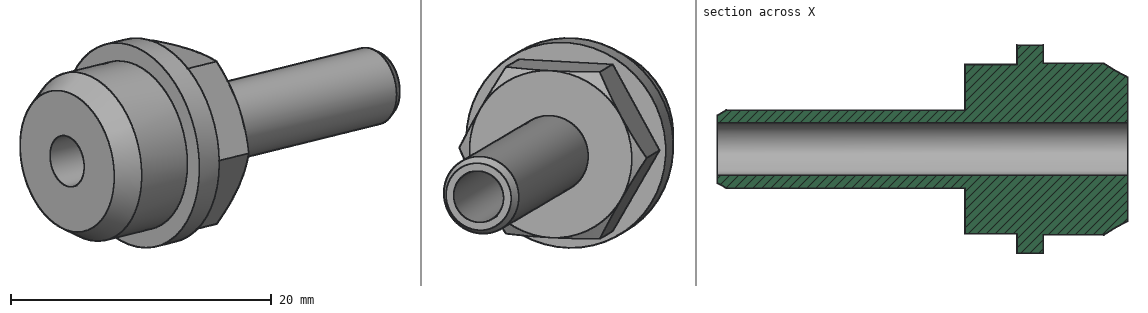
import cadquery as cq
import math

total_length = 31.5
plug_length = 6.5
flange_length = 2.02
hex_length = 4.0

flange_diameter = 16.0
plug_diameter = 13.2
stem_diameter = 6.02
bore_diameter = 4.0
hex_across_flats = 13.0

bevel_angle = math.radians(30)
plug_bevel_length = 1.85
stem_bevel_length = 0.7

flange_start = plug_length
hex_start = flange_start + flange_length
hex_end = hex_start + hex_length
hex_across_corners = hex_across_flats / math.cos(math.pi / 6)


def revolve_about_y(points):
    """Turn a closed (radius, y) outline into a solid around the Y axis."""
    return cq.Workplane("XY").polyline(points).close().revolve(360, (0, 0, 0), (0, 1, 0))


def make_turned_body():
    """Bevelled plug, flange and bevelled stem as one turned solid."""
    plug_radius = plug_diameter / 2
    flange_radius = flange_diameter / 2
    stem_radius = stem_diameter / 2
    plug_tip_radius = plug_radius - plug_bevel_length * math.tan(bevel_angle)
    stem_tip_radius = stem_radius - stem_bevel_length * math.tan(bevel_angle)
    return revolve_about_y([
        (0, 0),
        (plug_tip_radius, 0),
        (plug_radius, plug_bevel_length),
        (plug_radius, flange_start),
        (flange_radius, flange_start),
        (flange_radius, hex_start),
        (stem_radius, hex_start),
        (stem_radius, total_length - stem_bevel_length),
        (stem_tip_radius, total_length),
        (0, total_length),
    ])


def make_hex():
    """Hexagon with corners on the X axis, its corners bevelled at the stem end."""
    prism = (
        cq.Workplane("XZ", origin=(0, hex_start, 0))
        .polygon(6, hex_across_corners)
        .extrude(-hex_length)
    )
    face_radius = hex_across_flats / 2
    corner_radius = hex_across_corners / 2
    corner_drop = (corner_radius - face_radius) * math.tan(bevel_angle)
    envelope = revolve_about_y([
        (0, hex_start),
        (corner_radius, hex_start),
        (corner_radius, hex_end - corner_drop),
        (face_radius, hex_end),
        (0, hex_end),
    ])
    return prism.intersect(envelope)


def make_bore():
    """Through hole along the whole part."""
    return cq.Workplane("XZ").circle(bore_diameter / 2).extrude(-total_length)


result = make_turned_body().union(make_hex()).cut(make_bore())